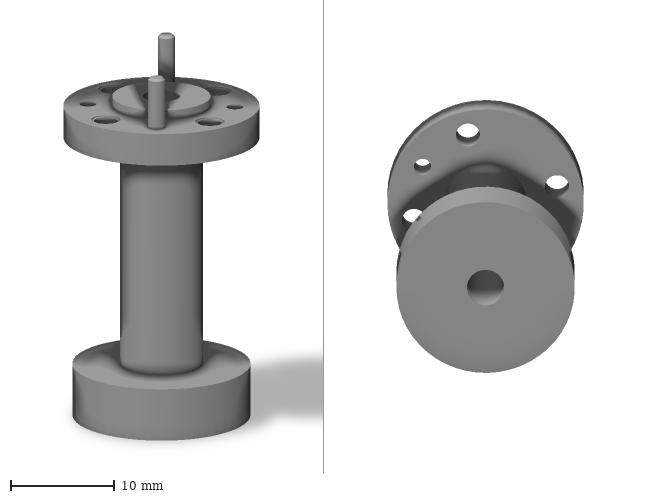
import cadquery as cq

total_height = 36.4
base_height = 5.2
flange_bottom = 28.15
flange_top = 31.35
boss_top = 32.3

base_diameter = 17.3
tube_diameter = 8.0
flange_diameter = 19.05
boss_diameter = 9.55
bore_diameter = 3.6

pitch_radius = 7.15
screw_hole_diameter = 2.33
counterbore_diameter = 2.85
counterbore_depth = 0.1
dowel_hole_diameter = 1.67
pin_diameter = 1.65
pin_chamfer = 0.25


def cylinder(diameter, bottom, top):
    """Round section on the Z axis between two heights."""
    return cq.Workplane("XY").workplane(offset=bottom).circle(diameter / 2).extrude(top - bottom)


def on_pitch_circle(shape, angle):
    """Move an axial shape onto the pitch circle at the given angle."""
    return shape.translate((pitch_radius, 0, 0)).rotate((0, 0, 0), (0, 0, 1), angle)


body = cylinder(base_diameter, 0, base_height)
body = body.union(cylinder(tube_diameter, 0, flange_top))
body = body.union(cylinder(flange_diameter, flange_bottom, flange_top))
body = body.union(cylinder(boss_diameter, flange_bottom, boss_top))

body = body.cut(cylinder(bore_diameter, 0, total_height))

screw_hole = cylinder(screw_hole_diameter, flange_bottom, flange_top)
screw_hole = screw_hole.union(
    cylinder(counterbore_diameter, flange_top - counterbore_depth, flange_top)
)
for angle in (0, 90, 180, 270):
    body = body.cut(on_pitch_circle(screw_hole, angle))

dowel_hole = cylinder(dowel_hole_diameter, flange_bottom, flange_top)
for angle in (45, 225):
    body = body.cut(on_pitch_circle(dowel_hole, angle))

pin = cylinder(pin_diameter, flange_bottom, total_height).faces(">Z").chamfer(pin_chamfer)
for angle in (135, 315):
    body = body.union(on_pitch_circle(pin, angle))

result = body